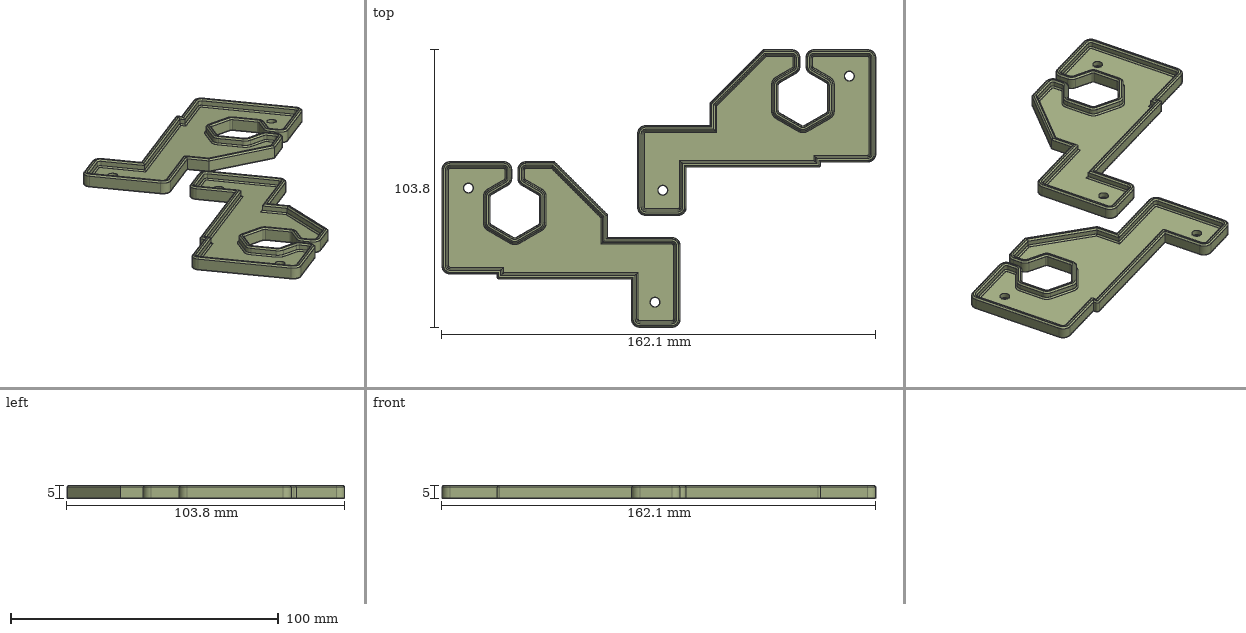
import cadquery as cq
import math

overall_length = 162.1
overall_width = 103.8

thickness = 5.0
floor_thickness = 2.1
rim_width = 2.0
rim_chamfer = 0.6
floor_chamfer = 0.55
base_chamfer = 0.3

bracket_length = 89.0
bracket_height = 62.0
body_height = 42.0
top_edge_end = 42.0
shoulder_length = 62.0
shoulder_drop = 28.4
foot_width = 18.2
step_start = 20.6
step_height = 2.0

hexagon_width = 18.5
hexagon_x = 27.2
hexagon_drop = 18.0
slot_width = 2.3

corner_radius = 3.0
small_corner_radius = 1.0

hole_diameter = 3.5
upper_hole_inset = 9.9
foot_hole_inset = 9.4

body_bottom = bracket_height - body_height
arm_bottom = body_bottom - step_height
shoulder_top = bracket_height - shoulder_drop
slope_end = bracket_height - (shoulder_length - top_edge_end)
foot_left = bracket_length - foot_width
hexagon_y = bracket_height - hexagon_drop
hexagon_side = hexagon_width / math.sqrt(3)
hexagon_left = hexagon_x - hexagon_width / 2
hexagon_right = hexagon_x + hexagon_width / 2
slot_left = hexagon_x - slot_width / 2
slot_right = hexagon_x + slot_width / 2
slot_bottom = hexagon_y + hexagon_side - slot_width / 2 / math.sqrt(3)

body_corners = [
    (0, body_bottom),
    (0, bracket_height),
    (slot_left, bracket_height),
    (slot_left, slot_bottom),
]
hexagon_corners = [
    (hexagon_left, hexagon_y + hexagon_side / 2),
    (hexagon_left, hexagon_y - hexagon_side / 2),
    (hexagon_x, hexagon_y - hexagon_side),
    (hexagon_right, hexagon_y - hexagon_side / 2),
    (hexagon_right, hexagon_y + hexagon_side / 2),
]
slot_right_corners = [
    (slot_right, slot_bottom),
    (slot_right, bracket_height),
]
slope_corners = [
    (top_edge_end, bracket_height),
    (shoulder_length, slope_end),
    (shoulder_length, shoulder_top),
]
foot_corners = [
    (bracket_length, shoulder_top),
    (bracket_length, 0),
    (foot_left, 0),
]
arm_corner = (foot_left, arm_bottom)
step_corner = (step_start, arm_bottom)
step_inner_corner = (step_start, body_bottom)


def round_corners(blank, corners, radius):
    """Round the upright edges of a plate that stand at the given corners."""
    for x, y in corners:
        edge = cq.selectors.NearestToPointSelector((x, y, thickness / 2))
        blank = blank.edges("|Z").edges(edge).fillet(radius)
    return blank


def make_blank():
    """The solid plate with rounded corners, before it is hollowed and chamfered."""
    outline = [
        *body_corners,
        *hexagon_corners,
        *slot_right_corners,
        *slope_corners,
        *foot_corners,
        arm_corner,
        step_corner,
        step_inner_corner,
    ]
    blank = cq.Workplane("XY").polyline(outline).close().extrude(thickness)
    blank = round_corners(blank, body_corners + slot_right_corners + foot_corners, corner_radius)
    return round_corners(blank, hexagon_corners + [step_corner], small_corner_radius)


def make_pocket(blank):
    """The hollow inside the rim, bevelled where it meets the floor."""
    outline = blank.faces("<Z").wires().val()
    inner_outline = outline.offset2D(-rim_width, "intersection")[0]
    pocket = cq.Workplane("XY").add(inner_outline).toPending().extrude(thickness - floor_thickness)
    return pocket.faces("<Z").chamfer(floor_chamfer).translate((0, 0, floor_thickness))


def make_screw_holes():
    hole_centres = [
        (upper_hole_inset, bracket_height - upper_hole_inset),
        (bracket_length - foot_hole_inset, foot_hole_inset),
    ]
    return cq.Workplane("XY").pushPoints(hole_centres).circle(hole_diameter / 2).extrude(thickness)


def make_bracket():
    blank = make_blank()
    bracket = blank.cut(make_pocket(blank))
    bracket = bracket.faces(">Z").chamfer(rim_chamfer)
    bracket = bracket.faces("<Z").chamfer(base_chamfer)
    return bracket.cut(make_screw_holes())


first_bracket = make_bracket()
second_bracket = first_bracket.mirror("YZ").translate(
    (overall_length, overall_width - bracket_height, 0)
)

result = cq.Compound.makeCompound([first_bracket.val(), second_bracket.val()])